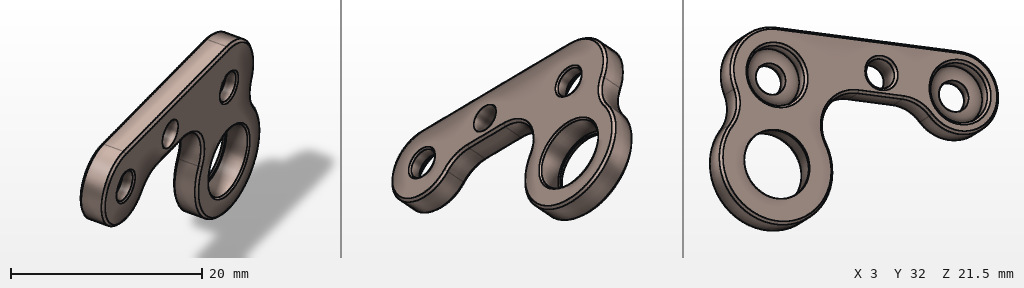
import cadquery as cq
import math

thickness = 3.0
edge_chamfer = 0.3
overall_length = 32.05
overall_height = 21.5

ring_radius = 6.5
corner_radius = 5.25
tip_radius = 4.52
blend_radius = 8.1 / 2
arm_depth = 6.03

ring_bore = 8.1
lip_bore = 7.5
lip_thickness = 0.3
screw_hole = 3.4
counterbore = 6.5
counterbore_depth = 1.6
pin_hole = 3.2
hole_chamfer = 0.3
back_chamfer = 0.2
pin_offset = 12.0
pin_drop = 3.55

top_z = overall_height - ring_radius
underside_z = top_z - arm_depth
ring = (0.0, 0.0)
corner = (0.0, top_z - corner_radius)
tip = (ring_radius + tip_radius - overall_length, top_z - tip_radius)
pin = (-pin_offset, top_z - pin_drop)


def toward(start, end, distance):
    """Point at a distance from start along the direction to end."""
    ratio = distance / math.dist(start, end)
    return tuple(s + ratio * (e - s) for s, e in zip(start, end))


ring_reach = ring_radius + blend_radius
corner_reach = corner_radius + blend_radius
tip_reach = tip_radius + blend_radius

waist_z = (ring_reach**2 - corner_reach**2 + corner[1] ** 2) / (2 * corner[1])
waist = (math.sqrt(ring_reach**2 - waist_z**2), waist_z)

under_blend_z = underside_z - blend_radius
elbow = (-math.sqrt(ring_reach**2 - under_blend_z**2), under_blend_z)
neck = (tip[0] + math.sqrt(tip_reach**2 - (tip[1] - under_blend_z) ** 2), under_blend_z)

diagonal = math.sqrt(0.5)
elbow_middle = (elbow[0] + blend_radius * diagonal, elbow[1] + blend_radius * diagonal)
neck_top = (neck[0], underside_z)
neck_end = toward(tip, neck, tip_radius)
neck_chord_middle = tuple((a + b) / 2 for a, b in zip(neck_top, neck_end))


def make_plate():
    """Chamfered plate, extruded along +X from the face at X = 0."""
    outline = (
        cq.Workplane("YZ")
        .moveTo(corner[0], top_z)
        .lineTo(tip[0], top_z)
        .threePointArc((tip[0] - tip_radius, tip[1]), neck_end)
        .threePointArc(toward(neck, neck_chord_middle, blend_radius), neck_top)
        .lineTo(elbow[0], underside_z)
        .threePointArc(elbow_middle, toward(ring, elbow, ring_radius))
        .threePointArc((0.0, -ring_radius), toward(ring, waist, ring_radius))
        .threePointArc((waist[0] - blend_radius, waist[1]), toward(corner, waist, corner_radius))
        .threePointArc((corner_radius, corner[1]), (corner[0], top_z))
        .close()
    )
    return outline.extrude(thickness).faces("<X or >X").chamfer(edge_chamfer)


def make_cylinder(center, diameter, depth):
    """Cutter running from the X = 0 face to the given depth."""
    return cq.Workplane("YZ").center(*center).circle(diameter / 2).extrude(depth)


def make_countersink(center, diameter, size, on_back=False):
    """45 degree cone that chamfers a hole's rim on the X = 0 face, or on the back face."""
    radius = diameter / 2
    face_x = thickness if on_back else 0.0
    tip_x = thickness - size if on_back else size
    section = [(face_x, 0), (face_x, radius + size), (tip_x, radius), (tip_x, 0)]
    cone = cq.Workplane("XY").polyline(section).close().revolve(360, (0, 0), (1, 0))
    return cone.translate((0, *center))


result = make_plate()

for screw in (corner, tip):
    result = result.cut(make_cylinder(screw, screw_hole, thickness))
    result = result.cut(make_cylinder(screw, counterbore, counterbore_depth))
    result = result.cut(make_countersink(screw, counterbore, hole_chamfer))
    result = result.cut(make_countersink(screw, screw_hole, back_chamfer, on_back=True))

result = result.cut(make_cylinder(pin, pin_hole, thickness))
result = result.cut(make_countersink(pin, pin_hole, hole_chamfer))

result = result.cut(make_cylinder(ring, lip_bore, thickness))
bearing_seat = make_cylinder(ring, ring_bore, thickness - lip_thickness)
result = result.cut(bearing_seat.translate((lip_thickness, 0, 0)))
result = result.cut(make_countersink(ring, ring_bore, back_chamfer, on_back=True))